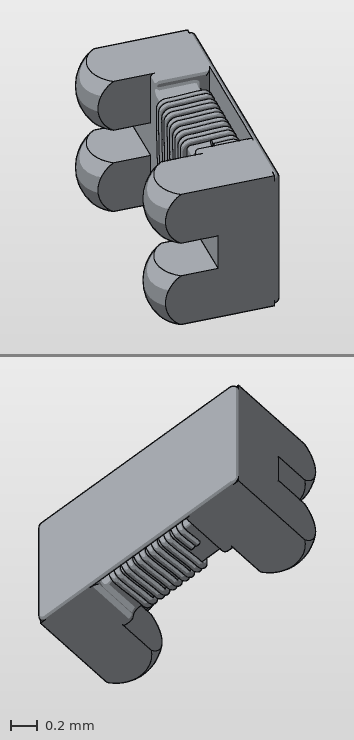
import cadquery as cq

length = 2.0
height = 1.2
foot_tip_y = -0.5
back_y = 0.5
plate_thickness = 0.05
rim_radius = 0.05
plate_front_y = back_y - plate_thickness

foot_size = 0.45
dome_radius = 0.35
dome_center_y = foot_tip_y + dome_radius
column_inner_x = length / 2 - foot_size

post_inset = 0.1
post_back_y = plate_front_y - post_inset
post_height = height - 2 * post_inset
post_edge_radius = 0.03
flank_radius = post_inset / 2
flank_outer_x = 0.5
flank_middle_x = flank_outer_x - flank_radius
tolerance = 0.001

wire_radius = 0.025
first_strand_x = -0.34
strand_spacing = 0.051
strand_count = 2
half_turn_count = 11
tall_face_shift = 0.048
short_face_shift = 0.0145
bend_radius = post_edge_radius + wire_radius
bend_front_y = post_edge_radius
bend_back_y = post_back_y - post_edge_radius
bend_z = post_height / 2 - post_edge_radius
strand_end_z = bend_z + bend_radius
end_y = post_back_y / 2


def box_between(x_range, y_range, z_range):
    """Axis-aligned box given by its limits."""
    sizes = [high - low for low, high in (x_range, y_range, z_range)]
    center = [(high + low) / 2 for low, high in (x_range, y_range, z_range)]
    return cq.Workplane("XY").box(*sizes).translate(tuple(center))


def symmetric(size):
    """Limits of a span centered on the origin."""
    return (-size / 2, size / 2)


def make_neck():
    """Straight post that flares outward at both ends to half the depth of the step."""
    neck_x = symmetric(2 * flank_middle_x)
    post = box_between(neck_x, (0, post_back_y), symmetric(post_height))
    post = post.edges("|X and >Y").fillet(post_edge_radius)
    for side in (-1, 1):
        wall_x = sorted((side * flank_middle_x, side * column_inner_x))
        post = post.union(box_between(wall_x, (0, back_y), symmetric(height)))
    post_region = cq.selectors.BoxSelector(
        (-flank_outer_x, -tolerance, -post_height / 2 - tolerance),
        (flank_outer_x, post_back_y + tolerance, post_height / 2 + tolerance),
        boundingbox=True,
    )
    post = post.edges(post_region).edges("not |X").fillet(flank_radius)
    return post.intersect(box_between(neck_x, (0, back_y), symmetric(height)))


def make_shoulder(side):
    """Inner edge of a column, rounded over at top, bottom and back."""
    x_range = sorted((side * flank_middle_x, side * column_inner_x))
    shoulder = box_between(x_range, (0, plate_front_y), symmetric(height))
    inner_face = shoulder.faces("<X" if side > 0 else ">X")
    return inner_face.edges("not <Y").fillet(flank_radius)


def make_post():
    """Post with both shoulders, its front outline rounded."""
    post = make_neck()
    for side in (-1, 1):
        post = post.union(make_shoulder(side))
    return post.faces("<Y").edges("not |Z").fillet(post_edge_radius)


def make_foot(side, level):
    """Square foot ending in a spherical dome."""
    x = side * (length - foot_size) / 2
    z = level * (height - foot_size) / 2
    x_range = (x - foot_size / 2, x + foot_size / 2)
    z_range = (z - foot_size / 2, z + foot_size / 2)
    stem = box_between(x_range, (dome_center_y, 0), z_range)
    tip = box_between(x_range, (foot_tip_y, dome_center_y), z_range)
    sphere = cq.Workplane("XY").sphere(dome_radius).translate((x, dome_center_y, z))
    return stem.union(tip.intersect(sphere))


def make_core():
    """Post, columns, feet and back plate as one solid."""
    core = make_post()
    for side in (-1, 1):
        column_x = sorted((side * column_inner_x, side * length / 2))
        core = core.union(box_between(column_x, (0, plate_front_y), symmetric(height)))
        for level in (-1, 1):
            core = core.union(make_foot(side, level))
    envelope = box_between(symmetric(length), (0, back_y), symmetric(height))
    rounded_envelope = envelope.edges("|Y or >Y").fillet(rim_radius)
    plate_region = box_between(symmetric(length), (plate_front_y, back_y), symmetric(height))
    return core.union(rounded_envelope.intersect(plate_region))


def face_run(start, end, direction):
    """Stretch across one face of the post, drifting smoothly in X and leaving along `direction`."""
    return cq.Edge.makeSpline(
        [cq.Vector(*start), cq.Vector(*end)],
        tangents=[cq.Vector(*direction), cq.Vector(*direction)],
    )


def bend(x, side, level):
    """Quarter bend around one long edge of the post, from the short face to the tall face."""
    center_y = bend_back_y if side > 0 else bend_front_y
    center_z = level * bend_z
    diagonal = bend_radius / 2 ** 0.5
    on_short_face = (x, center_y, center_z + level * bend_radius)
    middle = (x, center_y + side * diagonal, center_z + level * diagonal)
    on_tall_face = (x, center_y + side * bend_radius, center_z)
    return on_short_face, middle, on_tall_face


def arc(points):
    """Circular edge through three points."""
    return cq.Edge.makeThreePointArc(*[cq.Vector(*point) for point in points])


def strand_path(start_x):
    """Center line of a strand, from the middle of the bottom face to the middle of the top face."""
    edges = []
    position = (start_x, end_y, -strand_end_z)
    side = 1
    level = -1
    shift = short_face_shift / 2
    for _ in range(half_turn_count):
        entry = bend(position[0] + shift, side, level)
        edges.append(face_run(position, entry[0], (0, side, 0)))
        edges.append(arc(entry))
        leaving = bend(entry[2][0] + tall_face_shift, side, -level)[::-1]
        edges.append(face_run(entry[2], leaving[0], (0, 0, -level)))
        edges.append(arc(leaving))
        position = leaving[2]
        side = -side
        level = -level
        shift = short_face_shift
    end = (position[0] + short_face_shift / 2, end_y, strand_end_z)
    edges.append(face_run(position, end, (0, side, 0)))
    return cq.Wire.assembleEdges(edges)


def make_strand(start_x):
    """Round wire along its center line."""
    start_plane = cq.Plane(origin=(start_x, end_y, -strand_end_z), xDir=(1, 0, 0), normal=(0, 1, 0))
    return cq.Workplane(start_plane).circle(wire_radius).sweep(cq.Workplane(strand_path(start_x)))


core = make_core()
strands = [make_strand(first_strand_x + index * strand_spacing) for index in range(strand_count)]
result = cq.Compound.makeCompound([core.solids().val(), *[strand.val() for strand in strands]])